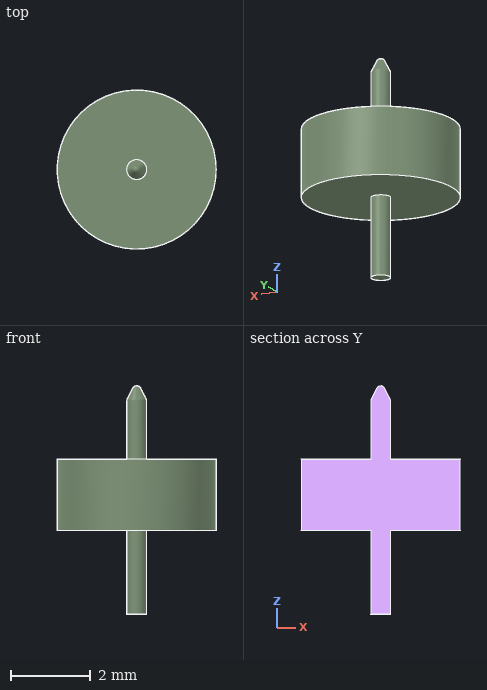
import cadquery as cq
import math

total_height = 5.75
body_diameter = 4.0
body_height = 1.8
body_bottom = 2.105
pin_diameter = 0.5

cone_half_angle = math.radians(27)
shoulder_radius = 0.115
nose_radius = 0.115

pin_radius = pin_diameter / 2


def arc_point(center_x, center_z, radius, angle):
    """Point on an arc, with the angle measured upward from the radial direction."""
    return (center_x + radius * math.cos(angle), center_z + radius * math.sin(angle))


def make_pin():
    """Revolve the pin's half profile, keeping every tip stretch tangent to the next."""
    nose_z = total_height - nose_radius
    shoulder_x = pin_radius - shoulder_radius
    shoulder_z = nose_z - (
        (shoulder_x + (shoulder_radius - nose_radius) / math.cos(cone_half_angle))
        / math.tan(cone_half_angle)
    )
    half_nose_angle = (cone_half_angle + math.pi / 2) / 2

    profile = (
        cq.Workplane("XZ")
        .moveTo(0, 0)
        .lineTo(pin_radius, 0)
        .lineTo(pin_radius, shoulder_z)
        .threePointArc(
            arc_point(shoulder_x, shoulder_z, shoulder_radius, cone_half_angle / 2),
            arc_point(shoulder_x, shoulder_z, shoulder_radius, cone_half_angle),
        )
        .lineTo(*arc_point(0, nose_z, nose_radius, cone_half_angle))
        .threePointArc(
            arc_point(0, nose_z, nose_radius, half_nose_angle),
            (0, total_height),
        )
        .close()
    )
    return profile.revolve(360, (0, 0, 0), (0, 1, 0))


def make_body():
    """Plain disc around the pin."""
    return (
        cq.Workplane("XY")
        .workplane(offset=body_bottom)
        .circle(body_diameter / 2)
        .extrude(body_height)
    )


result = make_body().union(make_pin())